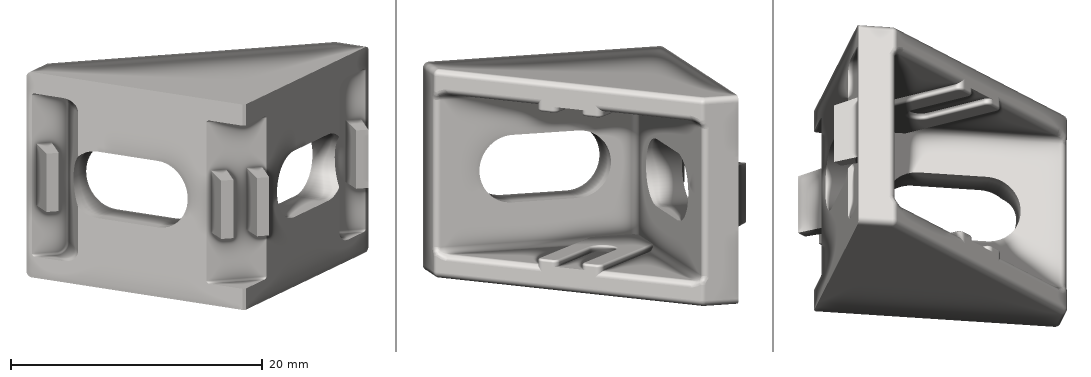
import cadquery as cq
import math

LEG = 20.0
HEIGHT = 17.0
WALL = 3.0
EDGE_RADIUS = 0.5
HEEL_CHAMFER = 0.18

CAVITY_HEIGHT = 13.0
CAVITY_RADIUS = 0.5

RIB_WIDTH = 5.8
RIB_HEIGHT = 0.5
RIB_EDGE_RADIUS = 0.2
GROOVE_WIDTH = 2.1
GROOVE_STRAIGHT = 5.9

SLOT_LENGTH = 11.0
SLOT_WIDTH = 5.5
SLOT_FROM_HEEL = 10.72

RECESS_PITCH = 16.0
HEEL_RECESS_START = 3.5
RECESS_HEIGHT = 13.5
RECESS_LENGTH = 3.0
RECESS_CORNER_RADIUS = 1.0
RECESS_FLOOR_RADIUS = 0.2
TAB_REACH = 1.5
TAB_CENTER = 1.0
TAB_THICKNESS = 1.28
TAB_HEIGHT = 5.1
TAB_TAPER = 3.0

ROOT2 = math.sqrt(2)
RIB_TOP = CAVITY_HEIGHT / 2 - RIB_HEIGHT
HEEL_RECESS_LENGTH = HEEL_RECESS_START * ROOT2
TAB_SLOPE = math.tan(math.radians(TAB_TAPER))
TAB_LENGTH = (TAB_REACH * ROOT2 + TAB_CENTER - TAB_THICKNESS / 2) / (1 - TAB_SLOPE)
RECESS_CUT = 5.0
OVERSIZE = 2 * LEG
CLEARANCE = 0.01

SLANTED_FACE = ">(-1,1,0)"
OUTWARD = (1, -1, 0)
ALONG = (1, 1, 0)


def mirrored(shape):
    """Copy of a shape on the other wall, across the diagonal plane through the heel."""
    return shape.mirror(cq.Vector(1, 1, 0), (0, 0, 0))


def diagonal_plane(x):
    """Plane facing diagonally outward; local x runs along the (1, 1) diagonal, local y is -Z."""
    return cq.Workplane(cq.Plane(origin=(x, 0, 0), xDir=ALONG, normal=OUTWARD))


def mid_plane():
    """XY plane with its origin mid-way along the slanted face and local x running toward the heel."""
    middle = (LEG + WALL) / 2
    return cq.Plane(origin=(middle - LEG - WALL, middle, 0), xDir=OUTWARD, normal=(0, 0, 1))


def blank():
    """Solid bracket with sharp edges."""
    outline = [(0, 0), (0, LEG), (-WALL, LEG), (-LEG, WALL), (-LEG, 0)]
    return cq.Workplane("XY").polyline(outline).close().extrude(HEIGHT / 2, both=True)


def ribs():
    """Guide ribs of both side plates, running square to the slanted face."""
    half = CAVITY_HEIGHT / 2
    plane = cq.Workplane(mid_plane())
    rib = plane.rect(OVERSIZE, RIB_WIDTH).extrude(half, both=True)
    groove = plane.rect(2 * GROOVE_STRAIGHT, GROOVE_WIDTH).extrude(half, both=True)
    groove_end = plane.center(GROOVE_STRAIGHT, 0).circle(GROOVE_WIDTH / 2).extrude(half, both=True)
    gap = plane.box(2 * OVERSIZE, 2 * OVERSIZE, 2 * RIB_TOP)
    return rib.cut(groove).cut(groove_end).cut(gap)


def cavity():
    """Triangular cavity with rounded edges along both walls, less the guide ribs."""
    corners = [(-WALL, WALL), (-WALL, OVERSIZE), (-OVERSIZE, WALL)]
    space = cq.Workplane("XY").polyline(corners).close().extrude(CAVITY_HEIGHT / 2, both=True)
    space = space.edges("|X or |Y or (|Z and >X and <Y)").fillet(CAVITY_RADIUS)
    return space.cut(ribs())


def is_at_rib_top(shape):
    """Whether an edge or face lies level with the inner face of a rib."""
    return abs(abs(shape.Center().z) - RIB_TOP) < CLEARANCE


def round_edges(body):
    """Round the slanted face, the cavity mouth, the wall ends and the side faces above the wall ends."""
    middle = mid_plane().origin

    def is_rounded(edge):
        center = edge.Center()
        on_groove_floor = math.hypot(center.x - middle.x, center.y - middle.y) < CLEARANCE
        inside_mouth = abs(center.z) < HEIGHT / 2 - CLEARANCE
        return not (is_at_rib_top(edge) or (on_groove_floor and inside_mouth))

    slanted_edges = body.faces(SLANTED_FACE).edges().filter(is_rounded)
    end_edges = body.faces("<X or >Y").edges("not (<Y or >X)")
    return slanted_edges.add(end_edges).fillet(EDGE_RADIUS)


def round_ribs(body):
    """Round the long edges of the ribs and the edge around the groove."""
    rib_edges = body.faces("|Z").filter(is_at_rib_top).edges("|(1,-1,0)")
    return rib_edges.fillet(RIB_EDGE_RADIUS)


def chamfer_heel(body):
    """Break the outer heel edge."""
    return body.edges("|Z and >X and <Y").chamfer(HEEL_CHAMFER)


def slot():
    """Round-ended screw slot through the wall along X."""
    cutter = cq.Workplane("XZ").center(-SLOT_FROM_HEEL, 0).slot2D(SLOT_LENGTH, SLOT_WIDTH)
    return cutter.extrude(-WALL - CLEARANCE)


def end_recess():
    """Recess at the wall end: square at the tip, rounded toward the heel."""
    block = diagonal_plane(-HEEL_RECESS_START - RECESS_PITCH).center(RECESS_LENGTH / 2, 0)
    block = block.rect(RECESS_LENGTH, RECESS_HEIGHT).extrude(RECESS_CUT)
    block = block.edges("|(1,-1,0) and >(1,1,0)").fillet(RECESS_CORNER_RADIUS)
    return block.faces("<(1,-1,0)").edges("not (|Z and <(1,1,0))").fillet(RECESS_FLOOR_RADIUS)


def heel_recess():
    """Recess that cuts diagonally across the heel, open to both outer wall faces."""
    block = diagonal_plane(-HEEL_RECESS_START).center(HEEL_RECESS_LENGTH / 2, 0)
    block = block.rect(HEEL_RECESS_LENGTH, RECESS_HEIGHT).extrude(RECESS_CUT)
    return block.faces("<(1,-1,0)").edges("not |Z").fillet(RECESS_FLOOR_RADIUS)


def tab(start):
    """Tapered tab standing on the recess floor that begins at the given distance from the heel."""
    block = diagonal_plane(-start).center(TAB_CENTER, 0).rect(TAB_THICKNESS, TAB_HEIGHT)
    return block.extrude(TAB_LENGTH, taper=TAB_TAPER)


def bracket():
    """Rounded body with its recesses and slots cut, then the four tabs added."""
    body = round_edges(blank().cut(cavity()))
    body = chamfer_heel(round_ribs(body))
    body = body.cut(heel_recess())
    for cutter in (slot(), end_recess()):
        body = body.cut(cutter).cut(mirrored(cutter))
    for start in (HEEL_RECESS_START, HEEL_RECESS_START + RECESS_PITCH):
        body = body.union(tab(start)).union(mirrored(tab(start)))
    return body


result = bracket()